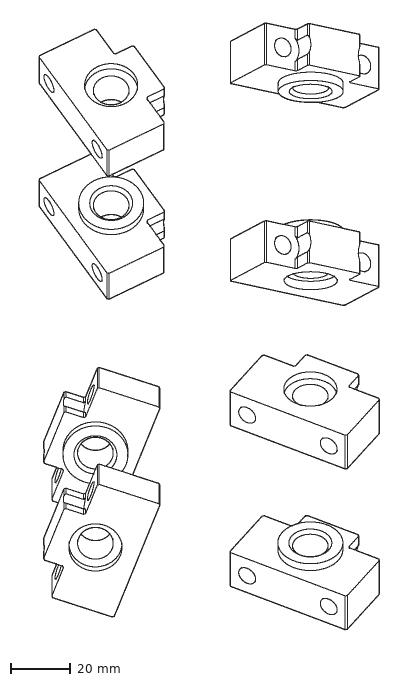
import cadquery as cq

overall_height = 86.0
width = 46.0
depth = 30.0

block_height = 15.0
tab_width = 21.0
tab_length = 7.5
corner_chamfer = 0.5
body_depth = depth - tab_length

bore_center_y = depth / 2
boss_diameter = 22.0
boss_height = 3.0
bore_diameter = 12.0
bore_mouth_diameter = 14.5
bore_chamfer = (bore_mouth_diameter - bore_diameter) / 2
recess_diameter = 18.0
recess_depth = 3.0

bolt_spacing = 32.0
bolt_diameter = 6.6
head_clearance_diameter = 13.0


def block_body():
    """T-shaped block, bottom at Z = 0 and front face at Y = 0."""
    outline = [
        (-width / 2, 0),
        (width / 2, 0),
        (width / 2, body_depth),
        (tab_width / 2, body_depth),
        (tab_width / 2, depth),
        (-tab_width / 2, depth),
        (-tab_width / 2, body_depth),
        (-width / 2, body_depth),
    ]
    body = cq.Workplane("XY").polyline(outline).close().extrude(block_height)
    return body.edges("|Z").chamfer(corner_chamfer)


def vertical_cylinder(diameter, height, base_z):
    """Cylinder on the bore axis, rising from base_z."""
    return cq.Workplane("XY", origin=(0, bore_center_y, base_z)).circle(diameter / 2).extrude(height)


def cross_cylinder(diameter, length, x, start_y):
    """Cylinder along +Y at mid-height of the block."""
    plane = cq.Plane(origin=(x, start_y, block_height / 2), xDir=(1, 0, 0), normal=(0, 1, 0))
    return cq.Workplane(plane).circle(diameter / 2).extrude(length)


def bearing_block():
    """Complete block with its boss pointing up."""
    total_height = block_height + boss_height
    block = block_body().union(vertical_cylinder(boss_diameter, boss_height, block_height))
    block = block.cut(vertical_cylinder(bore_diameter, total_height, 0))
    block = block.faces(">Z").edges("%CIRCLE").edges(cq.selectors.RadiusNthSelector(0)).chamfer(bore_chamfer)
    block = block.cut(vertical_cylinder(recess_diameter, recess_depth, 0))
    for x in (-bolt_spacing / 2, bolt_spacing / 2):
        block = block.cut(cross_cylinder(bolt_diameter, body_depth, x, 0))
        block = block.cut(cross_cylinder(head_clearance_diameter, tab_length, x, body_depth))
    return block


lower_block = bearing_block()
mid_height = overall_height / 2
blocks = [lower_block, lower_block.mirror("XY", (0, 0, mid_height))]

result = cq.Compound.makeCompound([block.val() for block in blocks])